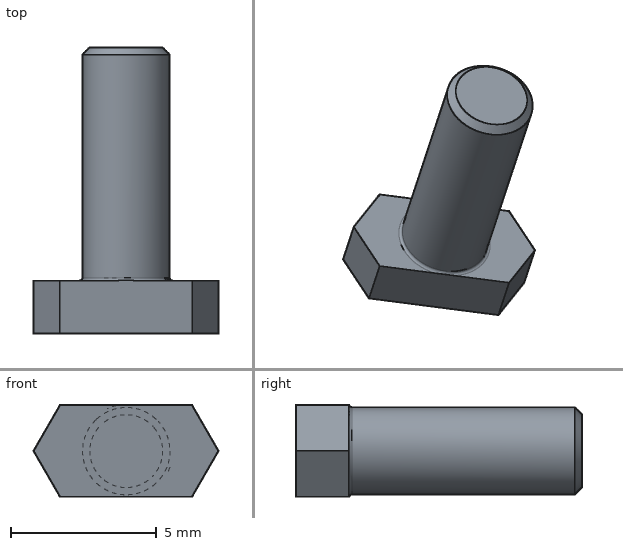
import cadquery as cq
import math

head_length = 6.35
head_height = 3.15
head_thickness = 1.82
side_angle = 60

shank_diameter = 3.0
shank_length = 8.0
tip_chamfer = 0.25
root_fillet = 0.1

shank_radius = shank_diameter / 2


def make_head():
    """Hexagonal plate with its back face at Y = 0."""
    half_length = head_length / 2
    half_height = head_height / 2
    half_flat = half_length - half_height / math.tan(math.radians(side_angle))
    outline = [
        (-half_length, 0),
        (-half_flat, half_height),
        (half_flat, half_height),
        (half_length, 0),
        (half_flat, -half_height),
        (-half_flat, -half_height),
    ]
    return cq.Workplane("XZ").polyline(outline).close().extrude(head_thickness)


def make_shank():
    """Pin about Y with a concave root fillet and a chamfered tip, trimmed to the head height."""
    arc_offset = root_fillet * (1 - math.sqrt(0.5))
    profile = (
        cq.Workplane("XY")
        .lineTo(shank_radius + root_fillet, 0)
        .threePointArc(
            (shank_radius + arc_offset, arc_offset),
            (shank_radius, root_fillet),
        )
        .lineTo(shank_radius, shank_length - tip_chamfer)
        .lineTo(shank_radius - tip_chamfer, shank_length)
        .lineTo(0, shank_length)
        .close()
    )
    pin = profile.revolve(360, (0, 0, 0), (0, 1, 0))
    flats_slab = cq.Workplane("XY").box(head_length, 2 * shank_length, head_height)
    return pin.intersect(flats_slab)


result = make_head().union(make_shank())